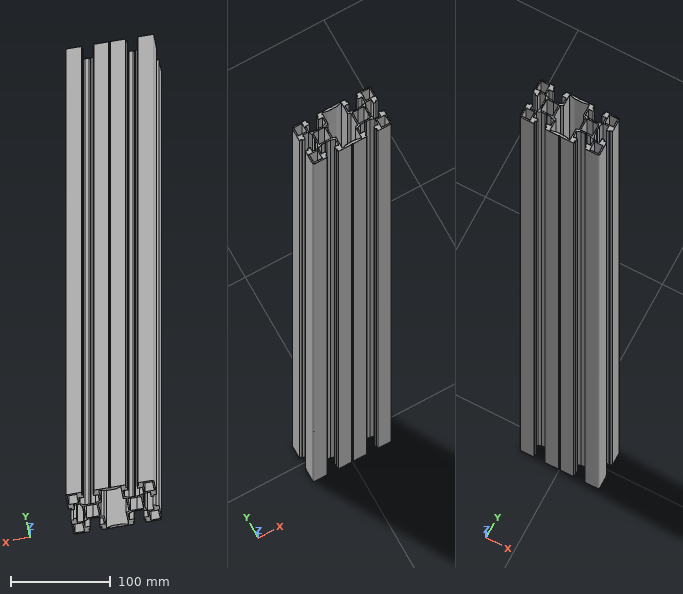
import cadquery as cq

length = 1000.0
cell = 45.0
half_cell = cell / 2
width = 2 * cell
corner_radius = 2.0

wall = 1.5

slot_width = 10.0
mouth_step_width = 1.3
mouth_step_depth = 3.0
lip_thickness = 6.0
pocket_overhang = 4.8
pocket_side_height = 6.5
pocket_taper_height = 1.8
pocket_taper_width = 4.4
half_slot = slot_width / 2
half_mouth = half_slot + mouth_step_width
half_pocket = half_slot + pocket_overhang
pocket_side_depth = lip_thickness + pocket_side_height
slot_depth = pocket_side_depth + pocket_taper_height

groove_width = 2.2
groove_depth = 0.7

corner_hollow_size = half_cell - half_pocket - 2 * wall
bore_size = 2 * (half_cell - slot_depth - wall)
half_chamber = half_cell - half_pocket - wall
half_chamber_waist = half_cell - bore_size / 2 - wall

waist_height = 14.0
flare_height = 16.0
rib_width = 10.0
rib_root_width = 19.0
rib_thickness = 1.2


def mirrored_left(right_points):
    """Reflect points across the Y axis, in reverse order."""
    return [(-x, y) for x, y in reversed(right_points)]


def prism(points):
    """Extrude a closed outline over the full length."""
    return cq.Workplane("XY").polyline(points).close().extrude(length)


def slot_cutter():
    """T-slot with a V-grooved floor; it opens at y = 0 and runs toward -Y."""
    right_side = [
        (half_mouth, 0),
        (half_mouth, -mouth_step_depth),
        (half_slot, -mouth_step_depth),
        (half_slot, -lip_thickness),
        (half_pocket, -lip_thickness),
        (half_pocket, -pocket_side_depth),
        (half_pocket - pocket_taper_width, -slot_depth),
        (groove_width / 2, -slot_depth),
    ]
    groove_bottom = (0, -slot_depth - groove_depth)
    return prism(right_side + [groove_bottom] + mirrored_left(right_side))


def cut_slots(body):
    """One slot in each narrow face and one per cell in each wide face."""
    slot = slot_cutter()
    for side in (-1, 1):
        end_slot = slot.rotate((0, 0, 0), (0, 0, 1), -90 * side)
        body = body.cut(end_slot.translate((side * cell, 0, 0)))
        upper_slot = slot.translate((side * half_cell, half_cell, 0))
        body = body.cut(upper_slot).cut(upper_slot.mirror("XZ"))
    return body


def cut_face_grooves(body):
    """V-grooves along the middle of both wide faces."""
    groove = prism([
        (-groove_width / 2, half_cell),
        (0, half_cell - groove_depth),
        (groove_width / 2, half_cell),
    ])
    return body.cut(groove).cut(groove.mirror("XZ"))


def cut_bores(body):
    """Square core bore through the centre of each cell."""
    bores = (
        cq.Workplane("XY")
        .pushPoints([(-half_cell, 0), (half_cell, 0)])
        .rect(bore_size, bore_size)
        .extrude(length)
    )
    return body.cut(bores)


def cut_corner_hollows(body):
    """Square hollow in each of the four outer corners."""
    inset = wall + corner_hollow_size / 2
    hollows = (
        cq.Workplane("XY")
        .rect(width - 2 * inset, cell - 2 * inset, forConstruction=True)
        .vertices()
        .rect(corner_hollow_size, corner_hollow_size)
        .extrude(length)
    )
    return body.cut(hollows)


def cut_chamber(body):
    """Large middle chamber, wider at mid height, with a rib along each wide face."""
    ceiling = half_cell - wall
    upper_right = [
        (rib_width / 2, ceiling - rib_thickness),
        (rib_root_width / 2, ceiling),
        (half_chamber, ceiling),
        (half_chamber, flare_height / 2),
        (half_chamber_waist, waist_height / 2),
    ]
    lower_right = [(x, -y) for x, y in reversed(upper_right)]
    right_side = upper_right + lower_right
    return body.cut(prism(right_side + mirrored_left(right_side)))


body = cq.Workplane("XY").rect(width, cell).extrude(length).edges("|Z").fillet(corner_radius)
body = cut_slots(body)
body = cut_face_grooves(body)
body = cut_bores(body)
body = cut_corner_hollows(body)
result = cut_chamber(body)